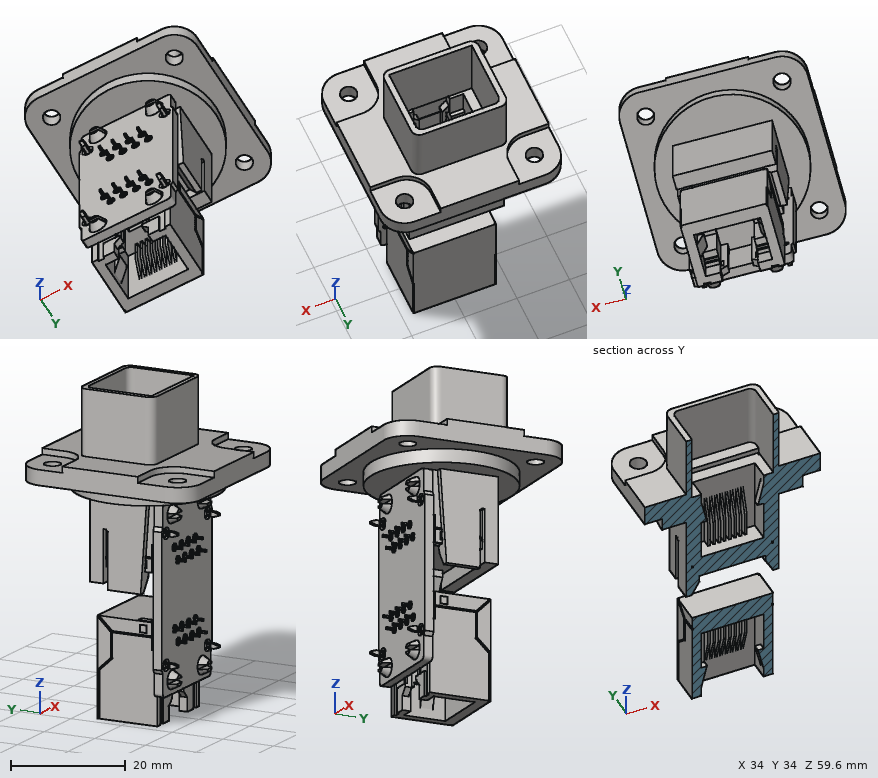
import cadquery as cq
import math

TOTAL_HEIGHT = 59.6
FLANGE_SIZE = 34.0
FLANGE_BOTTOM = 43.4
FLANGE_TOP = 47.4
FLANGE_CORNER_RADIUS = 4.6
MOUNT_HOLE_OFFSET = 12.35
MOUNT_HOLE_DIAMETER = 3.05
RECESS_DEPTH = 1.15
RECESS_CORNER_RADIUS = 4.6
RECESS_INNER_X = 7.45
RECESS_INNER_Y_HIGH = 8.0
RECESS_INNER_Y_LOW = -6.9
SPIGOT_RADIUS = 13.65
SPIGOT_BOTTOM = 40.9

TUBE_WIDTH = 18.0
TUBE_Y_LOW = -5.85
TUBE_Y_HIGH = 9.0
TUBE_CORNER_RADIUS = 1.55
TUBE_END_WALL = 0.95
BORE_LEDGE = 47.35
BORE_CORNER_RADIUS = 1.2

JACK_WIDTH = 15.75
JACK_LENGTH = 18.65
JACK_Y_LOW = -5.95
JACK_Y_HIGH = 5.85
UPPER_JACK_TOP = 46.3

SOCKET_WIDTH = 12.05
SOCKET_DEPTH = 14.3
SOCKET_Y_HIGH = 3.6
SOCKET_STEPS = [(-1.95, SOCKET_DEPTH), (-3.2, 5.95), (-3.65, 5.35), (-4.35, 4.6)]

LATCH_WIDTH = 6.85
LATCH_NECK_WIDTH = 4.35
LATCH_Y_HIGH = -0.65
LATCH_WALL_Y = -4.7
LATCH_TAPER_START = 2.6
LATCH_TAPER_END = 3.95
LATCH_DEPTH = 15.5

CONTACT_COUNT = 8
CONTACT_PITCH = 1.0
CONTACT_WIDTH = 0.4
CONTACT_HEIGHT = 1.5
CONTACT_START = 4.6
CONTACT_SLOPE_END = 9.55

WEDGE_Y_HIGH = 1.2
WEDGE_Y_LOW = -1.25
WEDGE_RISE = 1.15
WEDGE_START = 1.8
WEDGE_END = 6.55

FACE_RELIEF_WIDTH = 13.5
FACE_RELIEF_DEPTH = 0.35
FACE_PAD_WIDTH = 11.15
FACE_PAD_LENGTH = 4.6
FACE_SLIT_WIDTH = 0.55
FACE_SLIT_LENGTH = 2.4

GROOVE_WIDTH = 0.25
GROOVE_DEPTH = 0.2
GROOVE_Y = 3.1
GROOVE_REAR_Z = 16.05
GROOVE_BEND_Z = 11.2
GROOVE_EDGE_Y = 5.6
GROOVE_EDGE_Z = 8.9
FOOT_Y_HIGH = -4.9
FOOT_Z_LOW = 13.65
WINDOW_SIZE = 1.4
WINDOW_Y = -3.15
WINDOW_Z = 17.3
REAR_POCKET_X = 6.7
REAR_POCKET_Y = -3.1
REAR_POCKET_WIDTH = 1.3
REAR_POCKET_LENGTH = 2.4
REAR_POCKET_DEPTH = 1.8

SHELL_Y_HIGH = 6.75
SHELL_BACK_BOTTOM = 24.85
SHELL_ARM_BOTTOM = 23.8
SHELL_SLOT_Y_HIGH = 4.1
SHELL_SLOT_Y_LOW = 3.2
SHELL_SLOT_TOP = 34.7
SHELL_SLOT_CHAMFER = 0.4
ARM_FRONT_Y_TOP = -4.5
ARM_FRONT_Y_BOTTOM = -3.3
HOOK_OVERHANG = 1.5
HOOK_SLOPE_HEIGHT = 2.6

BOARD_WIDTH = 18.85
BOARD_END_WIDTH = 18.0
BOARD_THICKNESS = 1.7
BOARD_BOTTOM = 5.55
BOARD_TOP = 40.7
BOARD_STEP_LOW = 9.9
BOARD_STEP_HIGH = 36.4
BOARD_STEP_LENGTH = 0.8
BOARD_CORNER_RADIUS = 0.8
BOARD_FACE_Y = JACK_Y_LOW - BOARD_THICKNESS

SCREW_X = 5.65
SCREW_HEIGHTS = [8.15, 38.15]
SCREW_BASE_RADIUS = 1.7
SCREW_TIP_RADIUS = 0.95
SCREW_HEAD_HEIGHT = 1.5
SCREW_SLOT_WIDTH = 0.85
SCREW_SLOT_FLOOR = 0.05

PEG_X = 7.75
PEG_HEIGHTS = [11.25, 35.1]
PEG_HOLE_RADIUS = 0.8
PEG_HOLE_RIM_RADIUS = 1.1
PEG_THICKNESS = 0.7
PEG_WIDTH = 0.9
PEG_TIP_WIDTH = 0.3
PEG_NOTCH_WIDTH = 0.35
PEG_NOTCH_LENGTH = 0.8
PEG_NOTCH_DEPTH = 0.1
PEG_STRAIGHT = 1.45
PEG_REACH = 2.3

PIN_SIZE = 0.35
PIN_REACH = 1.5
PIN_PITCH = 2.55
PIN_ROW_SHIFT = PIN_PITCH / 2
PIN_FIRST_X = -4.4
PIN_ROW_REAR_Z = 17.05
PIN_ROWS = 2
PINS_PER_ROW = 4
PAD_OUTER_RADIUS = 0.7
PAD_INNER_RADIUS = 0.5
PAD_DEPTH = 0.2

SIDES = (-1, 1)


def box(x_low, x_high, y_low, y_high, z_low, z_high):
    """Axis-aligned block between two limits on each axis."""
    block = cq.Workplane("XY").box(x_high - x_low, y_high - y_low, z_high - z_low, centered=False)
    return block.translate((x_low, y_low, z_low))


def centred_box(width, y_low, y_high, z_low, z_high):
    """Block that is symmetric about the YZ plane."""
    return box(-width / 2, width / 2, y_low, y_high, z_low, z_high)


def disc_on_y(x, z, radius, y_front, y_back):
    """Cylinder along Y between a front (lower Y) and a back (higher Y) face."""
    start = cq.Vector(x, y_front, z)
    return cq.Workplane(cq.Solid.makeCylinder(radius, y_back - y_front, start, cq.Vector(0, 1, 0)))


def cone_toward_front(x, z, base_radius, tip_radius, y_base, length):
    """Truncated cone that narrows along -Y."""
    start = cq.Vector(x, y_base, z)
    return cq.Workplane(cq.Solid.makeCone(base_radius, tip_radius, length, start, cq.Vector(0, -1, 0)))


def make_flange():
    """Square flange with sunk corner pads, mounting holes and the round spigot below."""
    thickness = FLANGE_TOP - FLANGE_BOTTOM
    half = FLANGE_SIZE / 2
    flange = centred_box(FLANGE_SIZE, -half, half, FLANGE_BOTTOM, FLANGE_TOP)
    flange = flange.edges("|Z").fillet(FLANGE_CORNER_RADIUS)
    for side in SIDES:
        for y_inner, y_side in ((RECESS_INNER_Y_HIGH, 1), (RECESS_INNER_Y_LOW, -1)):
            x_low, x_high = sorted((side * RECESS_INNER_X, side * half))
            y_low, y_high = sorted((y_inner, y_side * half))
            recess = box(x_low, x_high, y_low, y_high, FLANGE_TOP - RECESS_DEPTH, FLANGE_TOP)
            inner_face = "<X" if side > 0 else ">X"
            inner_edge = "<Y" if y_side > 0 else ">Y"
            recess = recess.faces(inner_face).edges(inner_edge).fillet(RECESS_CORNER_RADIUS)
            flange = flange.cut(recess)
    hole_spacing = 2 * MOUNT_HOLE_OFFSET
    holes = (
        cq.Workplane("XY", origin=(0, 0, FLANGE_BOTTOM))
        .rect(hole_spacing, hole_spacing, forConstruction=True)
        .vertices()
        .circle(MOUNT_HOLE_DIAMETER / 2)
        .extrude(thickness)
    )
    spigot = cq.Workplane("XY", origin=(0, 0, SPIGOT_BOTTOM)).circle(SPIGOT_RADIUS)
    spigot = spigot.extrude(FLANGE_BOTTOM - SPIGOT_BOTTOM)
    return flange.cut(holes).union(spigot)


def make_tube():
    """Outer block of the tube that rises from the flange."""
    tube = centred_box(TUBE_WIDTH, TUBE_Y_LOW, TUBE_Y_HIGH, FLANGE_BOTTOM, TOTAL_HEIGHT)
    return tube.edges("|Z").fillet(TUBE_CORNER_RADIUS)


def make_bore():
    """Inside of the tube: as wide as the jack, with a low ledge behind the jack's mouth."""
    y_low = TUBE_Y_LOW + TUBE_END_WALL
    y_high = TUBE_Y_HIGH - TUBE_END_WALL
    bore = centred_box(JACK_WIDTH, y_low, y_high, BORE_LEDGE, TOTAL_HEIGHT)
    bore = bore.faces(">Y").edges("|Z").fillet(BORE_CORNER_RADIUS)
    return bore.union(centred_box(JACK_WIDTH, y_low, JACK_Y_HIGH, UPPER_JACK_TOP, BORE_LEDGE))


def make_shell():
    """U-shaped shell below the spigot: a back wall and two slotted arms hooked under the jack."""
    half = TUBE_WIDTH / 2
    arm_profile = [
        (SHELL_Y_HIGH, SPIGOT_BOTTOM),
        (SHELL_Y_HIGH, SHELL_BACK_BOTTOM),
        (SHELL_SLOT_Y_HIGH, SHELL_BACK_BOTTOM),
        (SHELL_SLOT_Y_HIGH, SHELL_SLOT_TOP),
        (SHELL_SLOT_Y_LOW + SHELL_SLOT_CHAMFER, SHELL_SLOT_TOP),
        (SHELL_SLOT_Y_LOW, SHELL_SLOT_TOP - SHELL_SLOT_CHAMFER),
        (SHELL_SLOT_Y_LOW, SHELL_ARM_BOTTOM),
        (ARM_FRONT_Y_BOTTOM, SHELL_ARM_BOTTOM),
        (ARM_FRONT_Y_TOP, SPIGOT_BOTTOM),
    ]
    shell = cq.Workplane("YZ", origin=(-half, 0, 0)).polyline(arm_profile).close().extrude(TUBE_WIDTH)
    jack_bottom = UPPER_JACK_TOP - JACK_LENGTH
    seat = centred_box(JACK_WIDTH, ARM_FRONT_Y_TOP, JACK_Y_HIGH, jack_bottom, SPIGOT_BOTTOM)
    hook_inner = JACK_WIDTH / 2 - HOOK_OVERHANG
    hook_top = SHELL_ARM_BOTTOM + HOOK_SLOPE_HEIGHT
    space_below = (
        cq.Workplane("XZ", origin=(0, SHELL_SLOT_Y_HIGH, 0))
        .polyline([
            (-JACK_WIDTH / 2, SHELL_ARM_BOTTOM),
            (JACK_WIDTH / 2, SHELL_ARM_BOTTOM),
            (hook_inner, hook_top),
            (hook_inner, jack_bottom),
            (-hook_inner, jack_bottom),
            (-hook_inner, hook_top),
        ])
        .close()
        .extrude(SHELL_SLOT_Y_HIGH - ARM_FRONT_Y_TOP)
    )
    return shell.cut(seat).cut(space_below)


def make_socket():
    """Plug cavity, open at Z = 0, with stepped lower walls, wedges and contacts left standing."""
    socket = None
    y_high = SOCKET_Y_HIGH
    for y_low, depth in SOCKET_STEPS:
        step = centred_box(SOCKET_WIDTH, y_low, y_high, 0, depth)
        socket = step if socket is None else socket.union(step)
        y_high = y_low
    half = SOCKET_WIDTH / 2
    wedge_y_length = WEDGE_Y_HIGH - WEDGE_Y_LOW
    for side in SIDES:
        wedge = (
            cq.Workplane("XZ", origin=(0, WEDGE_Y_HIGH, 0))
            .polyline([
                (side * half, WEDGE_START),
                (side * (half - WEDGE_RISE), WEDGE_END),
                (side * half, WEDGE_END),
            ])
            .close()
            .extrude(wedge_y_length)
        )
        socket = socket.cut(wedge)
    contact_profile = [
        (SOCKET_Y_HIGH, CONTACT_START),
        (SOCKET_Y_HIGH - CONTACT_HEIGHT, CONTACT_SLOPE_END),
        (SOCKET_Y_HIGH - CONTACT_HEIGHT, SOCKET_DEPTH),
        (SOCKET_Y_HIGH, SOCKET_DEPTH),
    ]
    for index in range(CONTACT_COUNT):
        x_low = (index - (CONTACT_COUNT - 1) / 2) * CONTACT_PITCH - CONTACT_WIDTH / 2
        contact = cq.Workplane("YZ", origin=(x_low, 0, 0)).polyline(contact_profile).close()
        socket = socket.cut(contact.extrude(CONTACT_WIDTH))
    return socket


def make_latch_space():
    """Latch cavity and its opening through the -Y wall, which tapers to a narrow neck."""
    half = LATCH_WIDTH / 2
    neck = LATCH_NECK_WIDTH / 2
    cavity = centred_box(LATCH_WIDTH, LATCH_WALL_Y, LATCH_Y_HIGH, 0, LATCH_DEPTH)
    opening = (
        cq.Workplane("XZ", origin=(0, LATCH_WALL_Y, 0))
        .polyline([
            (-half, 0),
            (half, 0),
            (half, LATCH_TAPER_START),
            (neck, LATCH_TAPER_END),
            (neck, LATCH_DEPTH),
            (-neck, LATCH_DEPTH),
            (-neck, LATCH_TAPER_END),
            (-half, LATCH_TAPER_START),
        ])
        .close()
        .extrude(LATCH_WALL_Y - JACK_Y_LOW)
    )
    return cavity.union(opening)


def make_face_relief():
    """Shallow relief on the -Y face around a flush pad, with a slit on each side of the latch."""
    y_high = JACK_Y_LOW + FACE_RELIEF_DEPTH
    slit_end = FACE_PAD_LENGTH + FACE_SLIT_LENGTH
    relief = centred_box(FACE_RELIEF_WIDTH, JACK_Y_LOW, y_high, 0, FOOT_Z_LOW)
    relief = relief.cut(centred_box(FACE_PAD_WIDTH, JACK_Y_LOW, y_high, 0, FACE_PAD_LENGTH))
    for side in SIDES:
        x = side * (LATCH_WIDTH - FACE_SLIT_WIDTH) / 2
        slit = centred_box(FACE_SLIT_WIDTH, JACK_Y_LOW, LATCH_WALL_Y, FACE_PAD_LENGTH, slit_end)
        relief = relief.union(slit.translate((x, 0, 0)))
    return relief


def groove_segment(start, end):
    """Straight groove tool in the YZ plane, centred on X = 0."""
    (y_start, z_start), (y_end, z_end) = start, end
    length = math.hypot(y_end - y_start, z_end - z_start)
    angle = math.degrees(math.atan2(z_end - z_start, y_end - y_start))
    segment = cq.Workplane("XY").box(GROOVE_DEPTH, length + GROOVE_WIDTH, GROOVE_WIDTH)
    segment = segment.rotate((0, 0, 0), (1, 0, 0), angle)
    return segment.translate((0, (y_start + y_end) / 2, (z_start + z_end) / 2))


def make_side_marks():
    """Shallow cuts in both jack sides: seam groove, foot relief, small window and rear pocket."""
    corner = (JACK_Y_HIGH, JACK_LENGTH)
    branch = (GROOVE_Y, GROOVE_REAR_Z)
    bend = (GROOVE_Y, GROOVE_BEND_Z)
    edge = (GROOVE_EDGE_Y, GROOVE_EDGE_Z)
    segments = [
        (corner, branch),
        (branch, (FOOT_Y_HIGH, GROOVE_REAR_Z)),
        (branch, bend),
        (bend, edge),
        (edge, (GROOVE_EDGE_Y, 0)),
    ]
    marks = centred_box(GROOVE_DEPTH, JACK_Y_LOW, FOOT_Y_HIGH, FOOT_Z_LOW, JACK_LENGTH)
    for start, end in segments:
        marks = marks.union(groove_segment(start, end))
    window = cq.Workplane("XY").box(GROOVE_DEPTH, WINDOW_SIZE, WINDOW_SIZE)
    marks = marks.union(window.translate((0, WINDOW_Y, WINDOW_Z)))
    shift = (JACK_WIDTH - GROOVE_DEPTH) / 2
    both = marks.translate((shift, 0, 0)).union(marks.translate((-shift, 0, 0)))
    for side in SIDES:
        pocket = cq.Workplane("XY").box(REAR_POCKET_WIDTH, REAR_POCKET_LENGTH, REAR_POCKET_DEPTH)
        pocket_z = JACK_LENGTH - REAR_POCKET_DEPTH / 2
        both = both.union(pocket.translate((side * REAR_POCKET_X, REAR_POCKET_Y, pocket_z)))
    return both


def make_jack_block():
    """Plain envelope of a jack with its mouth at Z = 0."""
    return centred_box(JACK_WIDTH, JACK_Y_LOW, JACK_Y_HIGH, 0, JACK_LENGTH)


def make_jack():
    """Finished jack with its mouth facing down at Z = 0."""
    jack = make_jack_block().cut(make_socket()).cut(make_latch_space())
    return jack.cut(make_face_relief()).cut(make_side_marks())


def turn_up(jack):
    """Turn a downward-facing jack about Y and lift it into the flange."""
    return jack.rotate((0, 0, 0), (0, 1, 0), 180).translate((0, 0, UPPER_JACK_TOP))


def make_board():
    """Board with slightly narrower ends and rounded end corners."""
    half = BOARD_WIDTH / 2
    end_half = BOARD_END_WIDTH / 2
    right_side = [
        (end_half, BOARD_BOTTOM),
        (end_half, BOARD_STEP_LOW),
        (half, BOARD_STEP_LOW + BOARD_STEP_LENGTH),
        (half, BOARD_STEP_HIGH - BOARD_STEP_LENGTH),
        (end_half, BOARD_STEP_HIGH),
        (end_half, BOARD_TOP),
    ]
    left_side = [(-x, z) for x, z in reversed(right_side)]
    board = cq.Workplane("XZ", origin=(0, JACK_Y_LOW, 0)).polyline(right_side + left_side).close()
    board = board.extrude(BOARD_THICKNESS)
    for end in ("<Z", ">Z"):
        board = board.faces(end).edges("|Y").fillet(BOARD_CORNER_RADIUS)
    return board


def make_screw_head(x, z):
    """Conical screw head with a deep slot along X."""
    head = cone_toward_front(
        x, z, SCREW_BASE_RADIUS, SCREW_TIP_RADIUS, BOARD_FACE_Y, SCREW_HEAD_HEIGHT
    )
    y_tip = BOARD_FACE_Y - SCREW_HEAD_HEIGHT
    y_floor = BOARD_FACE_Y - SCREW_SLOT_FLOOR
    half_slot = SCREW_SLOT_WIDTH / 2
    slot = centred_box(2 * SCREW_BASE_RADIUS, y_tip, y_floor, -half_slot, half_slot)
    return head.cut(slot.translate((x, 0, z)))


def make_peg_hole(x, z):
    """Board hole with a conical rim at the front face."""
    rim_depth = PEG_HOLE_RIM_RADIUS - PEG_HOLE_RADIUS
    hole = disc_on_y(x, z, PEG_HOLE_RADIUS, BOARD_FACE_Y, JACK_Y_LOW)
    y_base = BOARD_FACE_Y + rim_depth
    return hole.union(
        cone_toward_front(x, z, PEG_HOLE_RADIUS, PEG_HOLE_RIM_RADIUS, y_base, rim_depth)
    )


def make_peg(x, z):
    """Flat locating peg of a jack: it passes the board, tapers at its tip and is notched on its sides."""
    half = PEG_WIDTH / 2
    half_tip = PEG_TIP_WIDTH / 2
    half_notch = PEG_NOTCH_WIDTH / 2
    half_thickness = PEG_THICKNESS / 2
    y_shoulder = BOARD_FACE_Y - PEG_STRAIGHT
    y_tip = BOARD_FACE_Y - PEG_REACH
    peg = (
        cq.Workplane("YZ", origin=(-half_thickness, 0, 0))
        .polyline([
            (JACK_Y_LOW, half),
            (JACK_Y_LOW, -half),
            (y_shoulder, -half),
            (y_tip, -half_tip),
            (y_tip, half_tip),
            (y_shoulder, half),
        ])
        .close()
        .extrude(PEG_THICKNESS)
    )
    notch = centred_box(
        PEG_NOTCH_DEPTH, BOARD_FACE_Y - PEG_NOTCH_LENGTH, BOARD_FACE_Y, -half_notch, half_notch
    )
    shift = half_thickness - PEG_NOTCH_DEPTH / 2
    for side in SIDES:
        peg = peg.cut(notch.translate((side * shift, 0, 0)))
    return peg.translate((x, 0, z))


def make_pad_ring(x, z):
    """Shallow ring groove around a contact pin."""
    y_back = BOARD_FACE_Y + PAD_DEPTH
    ring = disc_on_y(x, z, PAD_OUTER_RADIUS, BOARD_FACE_Y, y_back)
    return ring.cut(disc_on_y(x, z, PAD_INNER_RADIUS, BOARD_FACE_Y, y_back))


def make_pin(x, z):
    """Square contact pin standing out of the board."""
    pin = centred_box(PIN_SIZE, BOARD_FACE_Y - PIN_REACH, JACK_Y_LOW, -PIN_SIZE / 2, PIN_SIZE / 2)
    return pin.translate((x, 0, z))


def pin_places():
    """Pin positions (X, Z): two staggered rows per jack, the upper jack's set turned about Y."""
    places = []
    for row in range(PIN_ROWS):
        for column in range(PINS_PER_ROW):
            x = PIN_FIRST_X + row * PIN_ROW_SHIFT + column * PIN_PITCH
            z = PIN_ROW_REAR_Z - row * PIN_PITCH
            places += [(x, z), (-x, UPPER_JACK_TOP - z)]
    return places


housing = make_flange().union(make_tube()).union(make_shell())
housing = housing.cut(make_bore()).cut(turn_up(make_jack_block()))

jack = make_jack()
board = make_board()
pegs = [(side * PEG_X, height) for side in SIDES for height in PEG_HEIGHTS]
screws = [(side * SCREW_X, height) for side in SIDES for height in SCREW_HEIGHTS]

for place in pegs:
    board = board.cut(make_peg_hole(*place))
for place in pin_places():
    board = board.cut(make_pad_ring(*place)).union(make_pin(*place))
for place in screws:
    board = board.union(make_screw_head(*place))

result = housing.union(turn_up(jack)).union(jack).union(board)
for place in pegs:
    result = result.union(make_peg(*place))